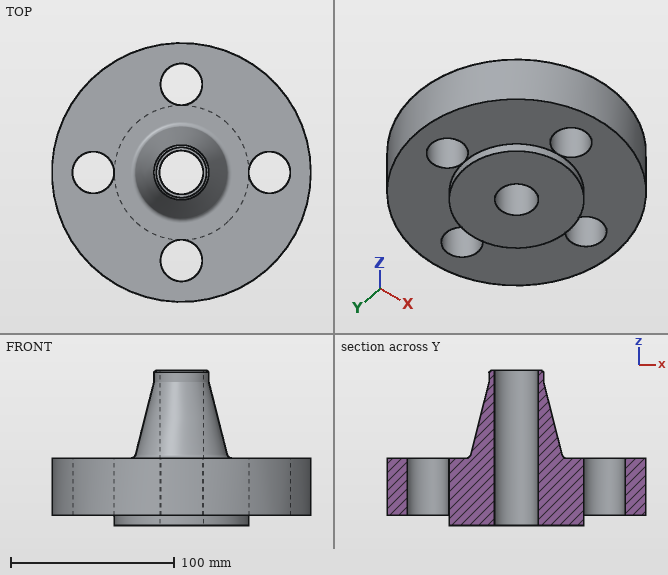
import cadquery as cq
import math

flange_diameter = 158.7
flange_thickness = 35.0

raised_face_diameter = 82.5
raised_face_height = 6.3

overall_height = 95.2
hub_base_diameter = 57.3
hub_base_fillet = 3.0
stub_diameter = 33.6
stub_height = 7.1
bevel_width = 1.5
bevel_angle = 37.5
bevel_height = bevel_width * math.tan(math.radians(bevel_angle))
bore_diameter = 26.7

bolt_hole_count = 4
bolt_hole_diameter = 25.4
bolt_circle_diameter = 108.0

flange_bottom = raised_face_height
flange_top = flange_bottom + flange_thickness
hub_top = overall_height - stub_height


def disc(diameter, bottom, height):
    """Upright cylinder on the flange axis."""
    return cq.Workplane("XY").workplane(offset=bottom).circle(diameter / 2).extrude(height)


def make_flange():
    """Flange disc standing on its raised face."""
    raised_face = disc(raised_face_diameter, 0, raised_face_height)
    return raised_face.union(disc(flange_diameter, flange_bottom, flange_thickness))


def make_neck():
    """Solid weld neck revolved about Z, with a bevelled end."""
    stub_radius = stub_diameter / 2
    return (
        cq.Workplane("XZ")
        .moveTo(0, flange_top)
        .lineTo(hub_base_diameter / 2, flange_top)
        .lineTo(stub_radius, hub_top)
        .lineTo(stub_radius, overall_height - bevel_height)
        .lineTo(stub_radius - bevel_width, overall_height)
        .lineTo(0, overall_height)
        .close()
        .revolve(360, (0, 0, 0), (0, 1, 0))
    )


def fillet_hub_base(body):
    """Round the inside corner where the hub meets the flange."""
    half_box = hub_base_diameter / 2 + hub_base_fillet
    level_margin = 0.2
    hub_base_edge = cq.selectors.BoxSelector(
        (-half_box, -half_box, flange_top - level_margin),
        (half_box, half_box, flange_top + level_margin),
        boundingbox=True,
    )
    return body.edges(hub_base_edge).fillet(hub_base_fillet)


def make_bolt_holes():
    """Through holes evenly spaced on the bolt circle, the first on +X."""
    return (
        cq.Workplane("XY")
        .workplane(offset=flange_bottom)
        .polarArray(bolt_circle_diameter / 2, 0, 360, bolt_hole_count)
        .circle(bolt_hole_diameter / 2)
        .extrude(flange_thickness)
    )


body = fillet_hub_base(make_flange().union(make_neck()))
bore = disc(bore_diameter, 0, overall_height)
result = body.cut(bore).cut(make_bolt_holes())